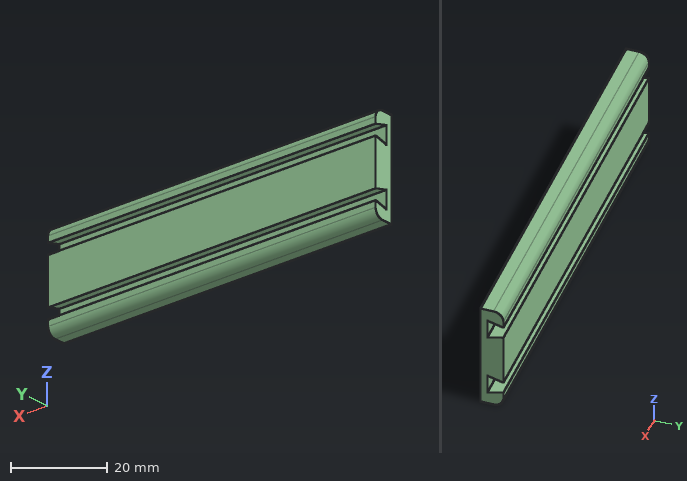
import cadquery as cq

length = 90.0
thickness = 5.0
height = 25.0

edge_radius = 2.2

groove_offset = 7.4
groove_depth = 3.5
groove_mouth_width = 2.7
groove_floor_width = 4.5

back_y = thickness / 2


def make_strip():
    """Flat strip with its two back edges rounded along X."""
    strip = cq.Workplane("XY").box(length, thickness, height)
    return strip.faces(">Y").edges("|X").fillet(edge_radius)


def make_groove(center_z):
    """Full-length dovetail cutter, wider at its floor than at its mouth."""
    floor_y = back_y - groove_depth
    half_mouth = groove_mouth_width / 2
    half_floor = groove_floor_width / 2
    outline = [
        (back_y, center_z - half_mouth),
        (back_y, center_z + half_mouth),
        (floor_y, center_z + half_floor),
        (floor_y, center_z - half_floor),
    ]
    return cq.Workplane("YZ").polyline(outline).close().extrude(length / 2, both=True)


result = make_strip()
for side in (-1, 1):
    result = result.cut(make_groove(side * groove_offset))